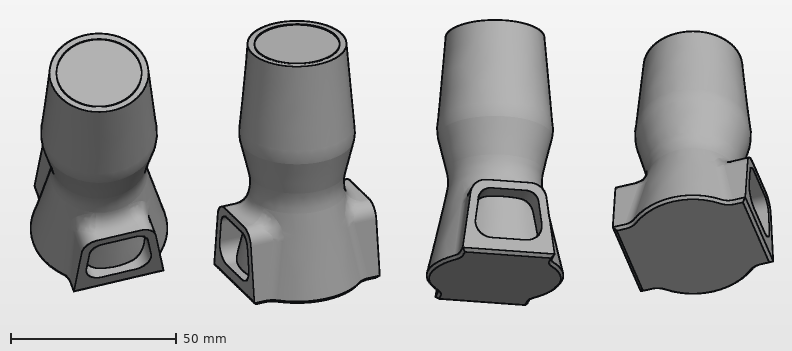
import cadquery as cq
import math

height = 78.15
base_radius = 20.95
neck_radius = 14.6
neck_bottom = 27.75
neck_top = 34.6
bulge_radius = 17.35
bulge_bottom = 46.0
bulge_top = 50.7
top_radius = 15.0

dish_radius = 12.9
dish_depth = 0.3

ear_span = 42.05
ear_height = 23.6
ear_base_half_width = 14.3
ear_taper_angle = 7.7
ear_corner_radius = 5.0
blend_radius = 5.0
base_chamfer = 1.0

pocket_floor_depth = 1.5
pocket_bottom = 4.9
pocket_top = 21.0
pocket_wall = 2.65
pocket_top_radius = 4.0
pocket_bottom_radius = 5.0


def make_body():
    """Turned body with a concave neck and a rounded bulge, both tangent to the cone below."""
    return (
        cq.Workplane("YZ")
        .lineTo(base_radius, 0)
        .lineTo(neck_radius, neck_bottom)
        .tangentArcPoint((neck_radius, neck_top), relative=False)
        .lineTo(bulge_radius, bulge_bottom)
        .tangentArcPoint((bulge_radius, bulge_top), relative=False)
        .lineTo(top_radius, height)
        .lineTo(0, height)
        .close()
        .revolve(360, (0, 0), (0, 1))
    )


def tapered_prism(bottom, top, side_inset):
    """Prism along X with sloping sides, moved inwards from the ear sides by side_inset."""
    taper = math.tan(math.radians(ear_taper_angle))
    bottom_half = ear_base_half_width - side_inset - bottom * taper
    top_half = ear_base_half_width - side_inset - top * taper
    corners = [(-bottom_half, bottom), (bottom_half, bottom), (top_half, top), (-top_half, top)]
    return cq.Workplane("YZ").polyline(corners).close().extrude(ear_span / 2, both=True)


def make_ears():
    """One prism forms both ears, with its upper corners rounded."""
    ears = tapered_prism(0, ear_height, 0)
    return ears.faces(">Z").edges("|X").fillet(ear_corner_radius)


def make_pockets():
    """Through prism minus a cone parallel to the body cone, leaving one pocket on each side."""
    prism = tapered_prism(pocket_bottom, pocket_top, pocket_wall)
    prism = prism.faces(">Z").edges("|X").fillet(pocket_top_radius)
    prism = prism.faces("<Z").edges("|X").fillet(pocket_bottom_radius)
    floor_cone = cq.Solid.makeCone(
        base_radius - pocket_floor_depth, neck_radius - pocket_floor_depth, neck_bottom
    )
    return prism.cut(cq.Workplane(floor_cone))


def blend_ears(part):
    """Fillet the curved seams where the ears run into the body."""
    seams = part.edges("not %LINE").filter(
        lambda edge: base_chamfer < edge.Center().z <= ear_height and abs(edge.Center().x) < base_radius
    )
    return seams.fillet(blend_radius)


def make_dish():
    """Disc that sinks the top face inside a narrow rim."""
    return (
        cq.Workplane("XY")
        .workplane(offset=height - dish_depth)
        .circle(dish_radius)
        .extrude(dish_depth)
    )


part = blend_ears(make_body().union(make_ears()))
part = part.faces("<Z").edges().chamfer(base_chamfer)
result = part.cut(make_pockets()).cut(make_dish())